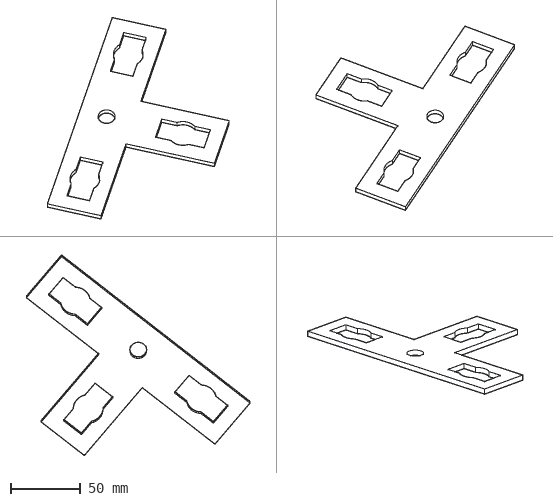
import cadquery as cq

bar_length = 175.0
bar_width = 40.0
overall_width = 106.0
thickness = 4.0
arm_width = bar_width
arm_length = overall_width - bar_width

slot_length = 36.2
slot_width = 16.8
bulge_diameter = 21.4
bar_slot_offset = 58.5
arm_slot_center_x = 77.0

center_hole_diameter = 12.0

bar_center_x = bar_width / 2


def plate(left_x, size_x, size_y):
    """Plate centred on the X axis, starting at left_x and standing on Z = 0."""
    return (
        cq.Workplane("XY")
        .center(left_x + size_x / 2, 0)
        .rect(size_x, size_y)
        .extrude(thickness)
    )


def keyhole_slot(center_x, center_y, size_x, size_y):
    """Through cutter: rectangular slot with a round bulge on both long sides."""
    base = cq.Workplane("XY").center(center_x, center_y)
    bulge = base.circle(bulge_diameter / 2).extrude(thickness)
    return base.rect(size_x, size_y).extrude(thickness).union(bulge)


bar = plate(0, bar_width, bar_length)
arm = plate(bar_width, arm_length, arm_width)
result = bar.union(arm)

for side in (-1, 1):
    result = result.cut(keyhole_slot(bar_center_x, side * bar_slot_offset, slot_width, slot_length))
result = result.cut(keyhole_slot(arm_slot_center_x, 0, slot_length, slot_width))

center_hole = cq.Workplane("XY").center(bar_center_x, 0).circle(center_hole_diameter / 2).extrude(thickness)
result = result.cut(center_hole)